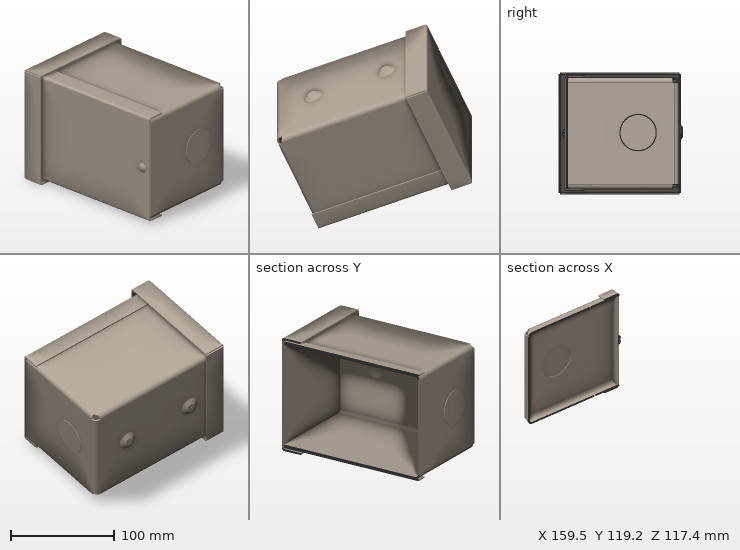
import cadquery as cq
import math

SHEET = 1.5
LENGTH = 159.5
DEPTH_OVERALL = 119.2
BOX_END_X = 159.0
KNOCKOUT_PROUD = LENGTH - BOX_END_X

CAP_SIDE = 117.4
CAP_DEPTH = 22.2
CAP_BEND = 2.4
WALLS_START_X = CAP_BEND
CAP_NOTCH = 1.35

COVER_HEIGHT = 110.9
COVER_FRONT_Y = -53.0
COVER_FLANGE = 18.2
COVER_BEND = 2.4

BOX_BACK_Y = CAP_SIDE / 2 - SHEET
BOX_HEIGHT = COVER_HEIGHT - 2 * SHEET
BOX_FRONT_Y = COVER_FRONT_Y + COVER_BEND
BOX_BEND = 4.5
RELIEF_DEPTH = 5.9
RELIEF_NEAR = 7.0
RELIEF_FAR = 3.2

BOSS_X = (42.9, 119.5)
BOSS_Z = 1.1
BOSS_HEIGHT = DEPTH_OVERALL - CAP_SIDE / 2 - BOX_BACK_Y
BOSS_BASE_DIAMETER = 18.8
BOSS_TOP_DIAMETER = 9.0

KNOCKOUT_DIAMETER = 35.1
KNOCKOUT_Y = 17.7
KNOCKOUT_Z = 0.8

SCREW_X = 150.3
SCREW_HEAD_DIAMETER = 9.7
SCREW_HEAD_HEIGHT = 2.4
SCREW_SHANK_DIAMETER = 5.7
RECESS_SPAN = 3.8
RECESS_ARM = 1.0
RECESS_DEPTH = 1.3
RECESS_TURN = 10


def block(x_range, y_range, height):
    """Box spanning the given X and Y ranges, centred on Z = 0."""
    return cq.Workplane("XY").box(
        x_range[1] - x_range[0], y_range[1] - y_range[0], height, centered=(False, False, True)
    ).translate((x_range[0], y_range[0], 0))


def along_y(x, y, z):
    """Workplane through the given point whose normal points to +Y."""
    return cq.Workplane(cq.Plane(origin=(x, y, z), xDir=(1, 0, 0), normal=(0, 1, 0)))


def make_cap():
    """Square pan with bent edges, a small notch along each lip corner."""
    half = CAP_SIDE / 2
    inner_half = half - SHEET
    outer = block((0, CAP_DEPTH), (-half, half), CAP_SIDE).faces("<X").edges().fillet(CAP_BEND)
    cavity = block((SHEET, CAP_DEPTH), (-inner_half, inner_half), 2 * inner_half)
    cavity = cavity.faces("<X").edges().fillet(CAP_BEND - SHEET)
    notch_spacing = CAP_SIDE - CAP_NOTCH
    notches = (
        cq.Workplane("YZ").rect(notch_spacing, notch_spacing, forConstruction=True)
        .vertices().rect(CAP_NOTCH, CAP_NOTCH).extrude(CAP_DEPTH)
    )
    return outer.cut(cavity).cut(notches)


def make_cover():
    """Front panel with two flanges, curved at the bends, with a hole for the screw."""
    flange_end_y = COVER_FRONT_Y + COVER_FLANGE
    outer = block((WALLS_START_X, BOX_END_X), (COVER_FRONT_Y, flange_end_y), COVER_HEIGHT)
    outer = outer.faces("<Y").edges("|X").fillet(COVER_BEND)
    inner = block((WALLS_START_X, BOX_END_X), (COVER_FRONT_Y + SHEET, flange_end_y), BOX_HEIGHT)
    inner = inner.faces("<Y").edges("|X").fillet(COVER_BEND - SHEET)
    screw_hole = along_y(SCREW_X, COVER_FRONT_Y, 0).circle(SCREW_SHANK_DIAMETER / 2).extrude(SHEET)
    return outer.cut(inner).cut(screw_hole)


def bent_block(inset, bend):
    """Box volume drawn in by the inset, rounded where its walls are bent together."""
    x_range = (WALLS_START_X, BOX_END_X - inset)
    y_range = (BOX_FRONT_Y, BOX_BACK_Y - inset)
    volume = block(x_range, y_range, BOX_HEIGHT - 2 * inset)
    return volume.faces(">X or >Y").edges("(not <X) and (not <Y)").fillet(bend)


def boss_cone(x, y):
    """Truncated cone of a boss with its base at the given Y."""
    base_centre = cq.Vector(x, y, BOSS_Z)
    return cq.Workplane(cq.Solid.makeCone(
        BOSS_BASE_DIAMETER / 2, BOSS_TOP_DIAMETER / 2, BOSS_HEIGHT, base_centre, cq.Vector(0, 1, 0)
    ))


def corner_relief():
    """Openings through the top and bottom bends where they reach the back end corner."""
    front_y = BOX_BACK_Y - RELIEF_DEPTH
    outline = [
        (BOX_END_X, front_y),
        (BOX_END_X - RELIEF_FAR, front_y),
        (BOX_END_X - RELIEF_NEAR, BOX_BACK_Y),
        (BOX_END_X, BOX_BACK_Y),
    ]
    upper = (
        cq.Workplane("XY").workplane(offset=BOX_HEIGHT / 2 - BOX_BEND)
        .polyline(outline).close().extrude(BOX_BEND)
    )
    return upper.union(upper.mirror("XY"))


def knockout_cylinder(start_x, end_x):
    """Cylinder along X on the axis of the knockout."""
    return (
        cq.Workplane("YZ", origin=(start_x, KNOCKOUT_Y, KNOCKOUT_Z))
        .circle(KNOCKOUT_DIAMETER / 2).extrude(end_x - start_x)
    )


def make_box():
    """Bent sheet box with corner reliefs, hollow bosses and the knockout hole."""
    box = bent_block(0, BOX_BEND).cut(bent_block(SHEET, BOX_BEND - SHEET))
    box = box.cut(corner_relief())
    for x in BOSS_X:
        box = box.union(boss_cone(x, BOX_BACK_Y))
        box = box.cut(boss_cone(x, BOX_BACK_Y - SHEET))
    return box.cut(knockout_cylinder(BOX_END_X - SHEET, BOX_END_X))


def make_knockout():
    """Disc filling the end wall hole and standing slightly proud of it."""
    return knockout_cylinder(BOX_END_X - SHEET + KNOCKOUT_PROUD, LENGTH)


def screw_recess():
    """Cross recess cut into the top of the screw head."""
    arm = along_y(0, -SCREW_HEAD_HEIGHT, 0).rect(RECESS_SPAN, RECESS_ARM).extrude(RECESS_DEPTH)
    cross = arm.union(arm.rotate((0, 0, 0), (0, 1, 0), 90))
    return cross.rotate((0, 0, 0), (0, 1, 0), -RECESS_TURN)


def make_screw():
    """Spherical head on the cover front and a shank filling the cover hole, pointing to +Y."""
    head_radius = SCREW_HEAD_DIAMETER / 2
    shank_radius = SCREW_SHANK_DIAMETER / 2
    sphere_radius = (head_radius**2 + SCREW_HEAD_HEIGHT**2) / (2 * SCREW_HEAD_HEIGHT)
    sphere_centre_y = sphere_radius - SCREW_HEAD_HEIGHT
    arc_middle = (shank_radius, sphere_centre_y - math.sqrt(sphere_radius**2 - shank_radius**2))
    profile = (
        cq.Workplane("XY").moveTo(0, SHEET).lineTo(shank_radius, SHEET).lineTo(shank_radius, 0)
        .lineTo(head_radius, 0).threePointArc(arc_middle, (0, -SCREW_HEAD_HEIGHT)).close()
    )
    screw = profile.revolve(360, (0, 0, 0), (0, 1, 0)).cut(screw_recess())
    return screw.translate((SCREW_X, COVER_FRONT_Y, 0))


cap = make_cap()
box = make_box()
cover = make_cover()
knockout = make_knockout()
screw = make_screw()

result = cq.Compound.makeCompound([cap.val(), box.val(), cover.val(), knockout.val(), screw.val()])